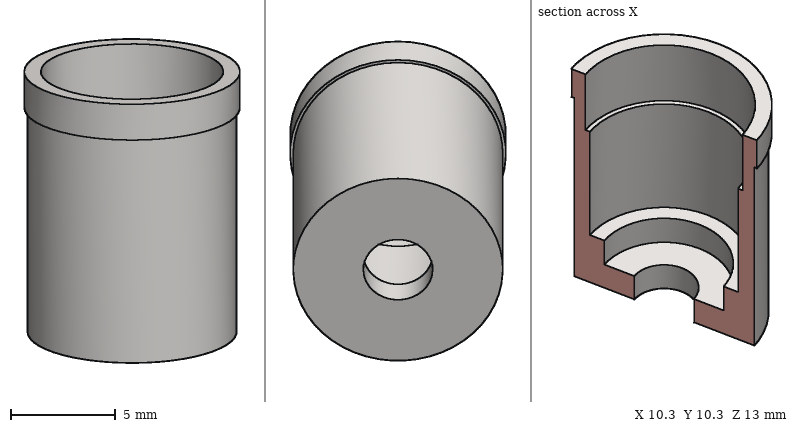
import cadquery as cq

height = 13.0
collar_diameter = 10.3
collar_height = 1.8
body_diameter = 10.0

mouth_diameter = 8.7
mouth_depth = 3.5
main_bore_diameter = 8.2
main_bore_depth = 10.0
seat_diameter = 6.6
seat_depth = 11.5
through_diameter = 3.3


def cylinder_from_top(diameter, depth):
    """Return a cylinder reaching down from the top face."""
    return cq.Workplane("XY").workplane(offset=height - depth).circle(diameter / 2).extrude(depth)


body = cq.Workplane("XY").circle(body_diameter / 2).extrude(height)
collar = cylinder_from_top(collar_diameter, collar_height)
result = body.union(collar)

bore_steps = [
    (mouth_diameter, mouth_depth),
    (main_bore_diameter, main_bore_depth),
    (seat_diameter, seat_depth),
    (through_diameter, height),
]
for diameter, depth in bore_steps:
    result = result.cut(cylinder_from_top(diameter, depth))